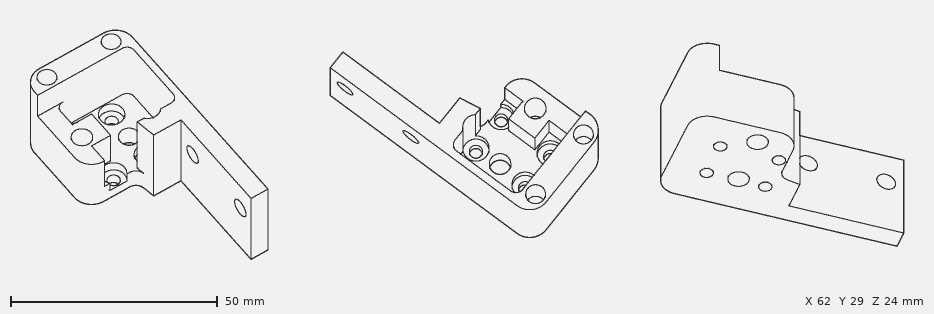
import cadquery as cq

length = 62.0
depth = 29.0
height = 24.0
corner_radius = 5.0

housing_width = 27.0
side_wall = 6.45
back_wall = 2.0
front_wall = 5.4
arm_thickness = 5.0
shoulder_x = 32.55
shoulder_y = 15.95
opening_y = 15.0
opening_fillet = 2.6

floor_z = 5.75
ledge_z = 15.8
pocket_radius = 2.05
tongue_width = 8.0
tongue_length = 5.65

bolt_x = 17.9
bolt_ys = (corner_radius, 19.0)
bolt_diameter = 5.2
screw_centre_x = 17.4
screw_centre_y = 14.45
screw_spacing_x = 15.0
screw_spacing_y = 10.0
screw_diameter = 3.2
counterbore_diameter = 6.4
counterbore_z = 3.0
pin_x = side_wall / 2
pin_diameter = 4.8
pin_depth = 10.0

arm_hole_diameter = 4.8
arm_hole_xs = (37.45, 57.5)
arm_hole_z = 15.5


def box(x0, x1, y0, y1, z0, z1):
    """Axis-aligned box between two opposite corners."""
    return cq.Workplane("XY").box(x1 - x0, y1 - y0, z1 - z0, centered=False).translate((x0, y0, z0))


def cylinders(points, diameter, z0, z1):
    """Vertical cylinders at the given centres."""
    return cq.Workplane("XY").workplane(offset=z0).pushPoints(points).circle(diameter / 2).extrude(z1 - z0)


def make_body():
    """L-shaped block: housing, shoulder and arm."""
    body = (
        cq.Workplane("XY")
        .polyline([
            (0, 0),
            (housing_width, 0),
            (housing_width, opening_y),
            (shoulder_x, shoulder_y),
            (shoulder_x, depth - arm_thickness),
            (length, depth - arm_thickness),
            (length, depth),
            (0, depth),
        ])
        .close()
        .extrude(height)
    )
    outer_corners = [(0, 0), (housing_width, 0), (0, depth)]
    for x, y in outer_corners:
        body = body.edges(cq.selectors.NearestToPointSelector((x, y, height / 2))).fillet(corner_radius)
    inner_corner = cq.selectors.NearestToPointSelector((housing_width, opening_y, height / 2))
    return body.edges(inner_corner).fillet(opening_fillet)


def make_pocket():
    """Pocket open on the right, with a tongue left standing from the front wall."""
    pocket = box(side_wall, housing_width, front_wall, depth - back_wall, floor_z, height)
    rounded_corners = [
        (side_wall, front_wall),
        (side_wall, depth - back_wall),
        (housing_width, depth - back_wall),
    ]
    for x, y in rounded_corners:
        corner = cq.selectors.NearestToPointSelector((x, y, (floor_z + height) / 2))
        pocket = pocket.edges(corner).fillet(pocket_radius)
    tongue = box(
        screw_centre_x - tongue_width / 2, screw_centre_x + tongue_width / 2,
        front_wall, front_wall + tongue_length, floor_z, ledge_z,
    )
    return pocket.cut(tongue)


def make_opening_relief():
    """Squares off the inside corner above the floor."""
    return (
        cq.Workplane("XY")
        .workplane(offset=floor_z)
        .polyline([
            (housing_width, front_wall),
            (shoulder_x, front_wall),
            (shoulder_x, shoulder_y),
            (housing_width, opening_y),
        ])
        .close()
        .extrude(height - floor_z)
    )


half_x = screw_spacing_x / 2
half_y = screw_spacing_y / 2
screw_points = [
    (screw_centre_x + side * half_x, screw_centre_y + row * half_y)
    for side in (-1, 1)
    for row in (-1, 1)
]
bolt_points = [(bolt_x, y) for y in bolt_ys]
pin_points = [(pin_x, corner_radius), (pin_x, depth - corner_radius)]

arm_holes = (
    cq.Workplane("XZ", origin=(0, depth, 0))
    .pushPoints([(x, arm_hole_z) for x in arm_hole_xs])
    .circle(arm_hole_diameter / 2)
    .extrude(arm_thickness)
)

result = (
    make_body()
    .cut(make_pocket())
    .cut(make_opening_relief())
    .cut(box(side_wall, housing_width, 0, front_wall + pocket_radius, ledge_z, height))
    .cut(cylinders(bolt_points, bolt_diameter, 0, height))
    .cut(cylinders(screw_points, screw_diameter, 0, height))
    .cut(cylinders(screw_points, counterbore_diameter, counterbore_z, height))
    .cut(cylinders(pin_points, pin_diameter, height - pin_depth, height))
    .cut(arm_holes)
)